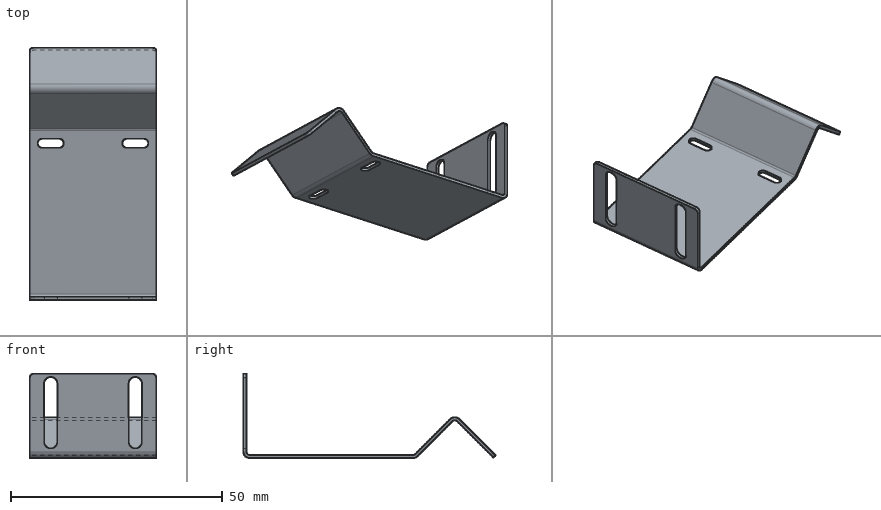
import cadquery as cq
import math

width = 30.0
length = 59.75
height = 20.0
thickness = 0.8
inner_bend = 0.8
outer_bend = inner_bend + thickness
corner_radius = 1.0
ramp_start = 40.8
ridge_y = 50.1

slot_spacing = 20.0
wall_slot_length = 16.85
wall_slot_width = 3.1
wall_slot_top_gap = 0.85
floor_slot_length = 6.1
floor_slot_width = 2.1
floor_slot_y = 37.1

slope_rise = thickness * math.sqrt(2)
square_cut = thickness / math.sqrt(2)
ridge_under = ridge_y - ramp_start
ridge_top = ridge_under + slope_rise
tip_z = ridge_top - (length - ridge_y)
ramp_start_top = ramp_start - thickness * math.tan(math.pi / 8)

front_outer = (0, 0)
front_inner = (thickness, thickness)
ramp_outer = (ramp_start, 0)
ramp_inner = (ramp_start_top, thickness)
ridge_inner = (ridge_y, ridge_under)
ridge_outer = (ridge_y, ridge_top)
tip_top = (length, tip_z)
tip_under = (length - square_cut, tip_z - square_cut)


def round_crease(body, crease, radius):
    """Round the crease running across the strip at the (Y, Z) point."""
    y, z = crease
    return body.edges("|X").edges(cq.selectors.NearestToPointSelector((0, y, z))).fillet(radius)


def bent_strip():
    profile = [
        front_outer, ramp_outer, ridge_inner, tip_under,
        tip_top, ridge_outer, ramp_inner, front_inner,
        (thickness, height), (0, height),
    ]
    body = cq.Workplane("YZ").polyline(profile).close().extrude(width / 2, both=True)
    for crease in (front_outer, ramp_outer, ridge_outer):
        body = round_crease(body, crease, outer_bend)
    for crease in (front_inner, ramp_inner, ridge_inner):
        body = round_crease(body, crease, inner_bend)
    return body


def wall_slots():
    slot_z = height - wall_slot_top_gap - wall_slot_length / 2
    return (
        cq.Workplane("XZ")
        .pushPoints([(-slot_spacing / 2, slot_z), (slot_spacing / 2, slot_z)])
        .slot2D(wall_slot_length, wall_slot_width, 90)
        .extrude(-2 * thickness)
    )


def floor_slots():
    return (
        cq.Workplane("XY")
        .pushPoints([(-slot_spacing / 2, floor_slot_y), (slot_spacing / 2, floor_slot_y)])
        .slot2D(floor_slot_length, floor_slot_width)
        .extrude(2 * thickness)
    )


strip = bent_strip()

strip = strip.faces(">Z").edges("|Y").fillet(corner_radius)
tip_direction = cq.Vector(0, 1, -1)
across_thickness = cq.selectors.ParallelDirSelector(cq.Vector(0, 1, 1))
tip_end = cq.selectors.DirectionMinMaxSelector(tip_direction)
strip = strip.edges(across_thickness).edges(tip_end).fillet(corner_radius)

result = strip.cut(wall_slots()).cut(floor_slots())